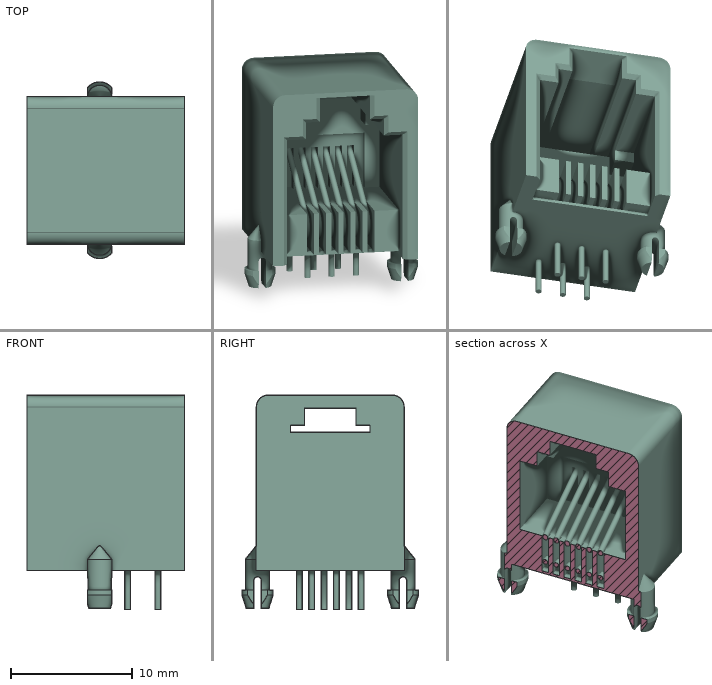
import cadquery as cq
import math

LENGTH = 13.01
WIDTH = 12.21
HEIGHT = 14.5
TOP_RADIUS = 1.0

PLUG_HALF, PLUG_TOP = 4.87, 10.57
KEY_HALF, KEY_TOP = 3.27, 12.0
LATCH_HALF, LATCH_TOP = 2.1, 14.1
MOUTH_BEVEL = 0.34
LATCH_TOP_BACK = 13.4
LATCH_SLOPE_LENGTH = 3.1

STOP_X = 8.0
STOP_BOTTOM = 9.58
BACK_WALL_X = 10.0
BACK_WALL_TOP = 11.43
RECESS_HALF, RECESS_TOP, RECESS_DEPTH = 3.61, 8.43, 0.5
WALL_GROOVE_TOP, WALL_GROOVE_DEPTH = 7.3, 0.85
RECESS_X = BACK_WALL_X + RECESS_DEPTH
WALL_GROOVE_END_X = RECESS_X + WALL_GROOVE_DEPTH

BLOCK_X = 2.0
FLOOR_X = 3.01
BLOCK_BOTTOM, BLOCK_TOP = 0.27, 3.77
GROOVE_WIDTH = 0.58
GROOVE_END_X = 5.58

CONTACT_COUNT = 6
CONTACT_SPAN = 5.1
CONTACT_PITCH = CONTACT_SPAN / (CONTACT_COUNT - 1)
WIRE_RADIUS = 0.25
PIN_DEPTH = 3.2
PIN_ROWS_X = (8.32, 10.81)
WIRE_SLOPE = 28.0
BEND_RADIUS = 1.03
BEND_X, BEND_Z = 4.53, 2.25

POST_X = 6.0
POST_SPACING = 12.0
POST_RADIUS = 1.01
POST_SHOULDER, POST_TIP = 0.94, 2.2
BARB_RADIUS, BARB_END_RADIUS = 1.3, 0.94
BARB_TOP, BARB_TAPER, POST_BOTTOM = -1.61, -2.02, -3.12
POST_SLOT, POST_SLOT_TOP = 0.6, -0.51


def box(x0, x1, y0, y1, z0, z1):
    return cq.Workplane("XY").box(x1 - x0, y1 - y0, z1 - z0, centered=False).translate((x0, y0, z0))


def wide_box(x0, x1, half, z0, z1):
    """Box centred on the Y = 0 plane."""
    return box(x0, x1, -half, half, z0, z1)


def opening_outline(x, grow, latch_top):
    """Stepped outline of the plug opening at depth x, moved outwards by grow."""
    half = [
        (PLUG_HALF + grow, 0),
        (PLUG_HALF + grow, PLUG_TOP + grow),
        (KEY_HALF + grow, PLUG_TOP + grow),
        (KEY_HALF + grow, KEY_TOP + grow),
        (LATCH_HALF + grow, KEY_TOP + grow),
        (LATCH_HALF + grow, latch_top),
    ]
    mirrored = [(-y, z) for y, z in reversed(half)]
    return cq.Workplane("YZ", origin=(x, 0, 0)).polyline(half + mirrored).close()


def latch_channel():
    """Channel for the plug latch, open at both ends, with a ceiling that falls away from the mouth."""
    profile = [
        (0, KEY_TOP),
        (0, LATCH_TOP),
        (LATCH_SLOPE_LENGTH, LATCH_TOP_BACK),
        (LENGTH, LATCH_TOP_BACK),
        (LENGTH, KEY_TOP),
    ]
    return cq.Workplane("XZ").polyline(profile).close().extrude(LATCH_HALF, both=True)


def mouth_bevel():
    """Stepped ring that widens the opening towards the mouth."""
    drop = (LATCH_TOP - LATCH_TOP_BACK) * MOUTH_BEVEL / LATCH_SLOPE_LENGTH
    outer = opening_outline(0, MOUTH_BEVEL, LATCH_TOP).wire().val()
    inner = opening_outline(MOUTH_BEVEL, 0, LATCH_TOP - drop).wire().val()
    return cq.Workplane(cq.Solid.makeLoft([outer, inner], True))


def contact_positions():
    return [(i - (CONTACT_COUNT - 1) / 2) * CONTACT_PITCH for i in range(CONTACT_COUNT)]


def plug_cavity():
    """Stepped room for the plug, narrowed by a stop on each side and windowed through the back."""
    cavity = wide_box(0, STOP_X, PLUG_HALF, 0, PLUG_TOP)
    cavity = cavity.union(wide_box(STOP_X, BACK_WALL_X, PLUG_HALF, 0, STOP_BOTTOM))
    cavity = cavity.union(wide_box(0, BACK_WALL_X, KEY_HALF, STOP_BOTTOM, KEY_TOP))
    return cavity.union(wide_box(BACK_WALL_X, LENGTH, KEY_HALF, BACK_WALL_TOP, KEY_TOP))


def grooves(x0, x1, z0, z1):
    """One straight groove for each contact wire."""
    cutter = cq.Workplane("XY")
    for y in contact_positions():
        cutter = cutter.union(box(x0, x1, y - GROOVE_WIDTH / 2, y + GROOVE_WIDTH / 2, z0, z1))
    return cutter


def housing():
    body = wide_box(0, LENGTH, WIDTH / 2, 0, HEIGHT).edges("|X and >Z").fillet(TOP_RADIUS)
    body = body.cut(plug_cavity()).cut(latch_channel()).cut(mouth_bevel())
    body = body.cut(wide_box(BACK_WALL_X, RECESS_X, RECESS_HALF, BLOCK_TOP, RECESS_TOP))
    return body.cut(grooves(RECESS_X, WALL_GROOVE_END_X, BLOCK_TOP, WALL_GROOVE_TOP))


def contact_block():
    block = wide_box(BLOCK_X, BACK_WALL_X, PLUG_HALF, BLOCK_BOTTOM, BLOCK_TOP)
    block = block.cut(grooves(BLOCK_X, GROOVE_END_X, BLOCK_BOTTOM, BLOCK_TOP))
    return block.union(wide_box(FLOOR_X, BACK_WALL_X, PLUG_HALF, 0, BLOCK_BOTTOM))


def contact(y, pin_x):
    """Spring wire that leaves the back wall, dips into its groove, turns back and ends in a pin."""
    slope = math.radians(WIRE_SLOPE)
    bend_start_x = BEND_X - BEND_RADIUS * math.sin(slope)
    bend_start_z = BEND_Z + BEND_RADIUS * math.cos(slope)
    wall_x = WALL_GROOVE_END_X + 2 * WIRE_RADIUS
    wall_z = bend_start_z + (wall_x - bend_start_x) * math.tan(slope)
    foremost = (BEND_X - BEND_RADIUS, BEND_Z)
    path = (
        cq.Workplane("XZ", origin=(0, y, 0))
        .moveTo(wall_x, wall_z)
        .lineTo(bend_start_x, bend_start_z)
        .threePointArc(foremost, (BEND_X, BEND_Z - BEND_RADIUS))
        .lineTo(pin_x, BEND_Z - BEND_RADIUS)
    )
    start = cq.Plane(
        origin=(wall_x, y, wall_z),
        xDir=(0, 1, 0),
        normal=(-math.cos(slope), 0, -math.sin(slope)),
    )
    wire = cq.Workplane(start).circle(WIRE_RADIUS).sweep(path)
    pin = (
        cq.Workplane("XY", origin=(pin_x, y, -PIN_DEPTH))
        .circle(WIRE_RADIUS)
        .extrude(PIN_DEPTH + BEND_Z - BEND_RADIUS)
    )
    return wire.union(pin)


def board_post(y):
    """Pointed post with a barbed, slotted foot whose front and back are flattened to the post's width."""
    profile = [
        (0, POST_BOTTOM),
        (BARB_END_RADIUS, POST_BOTTOM),
        (BARB_RADIUS, BARB_TAPER),
        (BARB_RADIUS, BARB_TOP),
        (POST_RADIUS, BARB_TOP),
        (POST_RADIUS, POST_SHOULDER),
        (0, POST_TIP),
    ]
    post = cq.Workplane("XZ").polyline(profile).close().revolve(360, (0, 0, 0), (0, 1, 0))
    flats = box(-POST_RADIUS, POST_RADIUS, -BARB_RADIUS, BARB_RADIUS, POST_BOTTOM, POST_TIP)
    post = post.intersect(flats)
    half = POST_SLOT / 2
    slot_round_z = POST_SLOT_TOP - half
    slot = box(-BARB_RADIUS, BARB_RADIUS, -half, half, POST_BOTTOM, slot_round_z)
    slot = slot.union(
        cq.Workplane("YZ", origin=(0, 0, slot_round_z)).circle(half).extrude(BARB_RADIUS, both=True)
    )
    return post.cut(slot).translate((POST_X, y, 0))


result = housing().union(contact_block())
for number, contact_y in enumerate(contact_positions()):
    result = result.union(contact(contact_y, PIN_ROWS_X[number % len(PIN_ROWS_X)]))
for post_y in (-POST_SPACING / 2, POST_SPACING / 2):
    result = result.union(board_post(post_y))